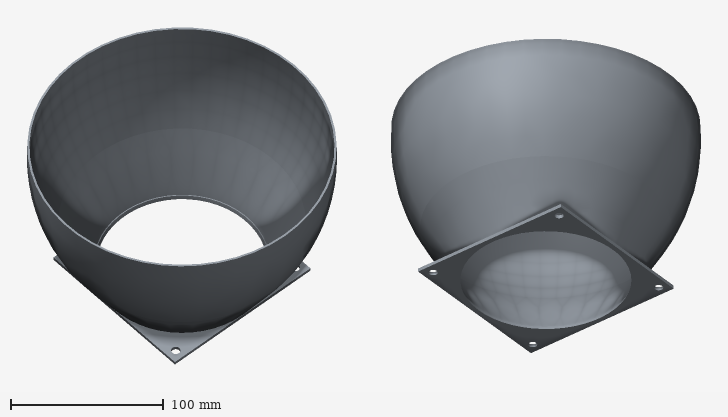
import cadquery as cq
import math

plate_side = 119.0
plate_thickness = 2.5
screw_hole_diameter = 6.0
screw_hole_pitch = 105.0
opening_top_diameter = 114.0
opening_bottom_diameter = 111.9

total_height = 121.8
bowl_radius = 101.5
bowl_base_radius = 59.3
bulge_radius = 138.0
bulge_height = 111.7
wall_thickness = 1.5


def bowl_solid(inset):
    """Solid of revolution whose curved side lies `inset` inside the outer surface."""
    arc_radius = bulge_radius - inset
    center_r = bowl_radius - bulge_radius

    base_dr = bowl_base_radius - center_r
    base_drop = bulge_height - plate_thickness
    base_distance = math.hypot(base_dr, base_drop)
    tangent_angle = math.atan2(base_drop, base_dr) - math.acos(bulge_radius / base_distance)
    top_angle = math.asin((total_height - bulge_height) / arc_radius)

    def arc_point(angle):
        return (
            center_r + arc_radius * math.cos(angle),
            bulge_height + arc_radius * math.sin(angle),
        )

    base_radius = bowl_base_radius - inset / math.cos(tangent_angle)
    return (
        cq.Workplane("XZ")
        .moveTo(0, plate_thickness)
        .lineTo(base_radius, plate_thickness)
        .lineTo(*arc_point(-tangent_angle))
        .threePointArc(arc_point((top_angle - tangent_angle) / 2), arc_point(top_angle))
        .lineTo(0, total_height)
        .close()
        .revolve(360, (0, 0, 0), (0, 1, 0))
    )


def base_plate():
    """Square plate with a tapered central opening and a screw hole at each corner."""
    plate = (
        cq.Workplane("XY")
        .rect(plate_side, plate_side)
        .rect(screw_hole_pitch, screw_hole_pitch, forConstruction=True)
        .vertices()
        .circle(screw_hole_diameter / 2)
        .extrude(plate_thickness)
    )
    opening = cq.Solid.makeCone(
        opening_bottom_diameter / 2, opening_top_diameter / 2, plate_thickness
    )
    return plate.cut(cq.Workplane(obj=opening))


bowl = bowl_solid(0).cut(bowl_solid(wall_thickness))
result = base_plate().union(bowl)